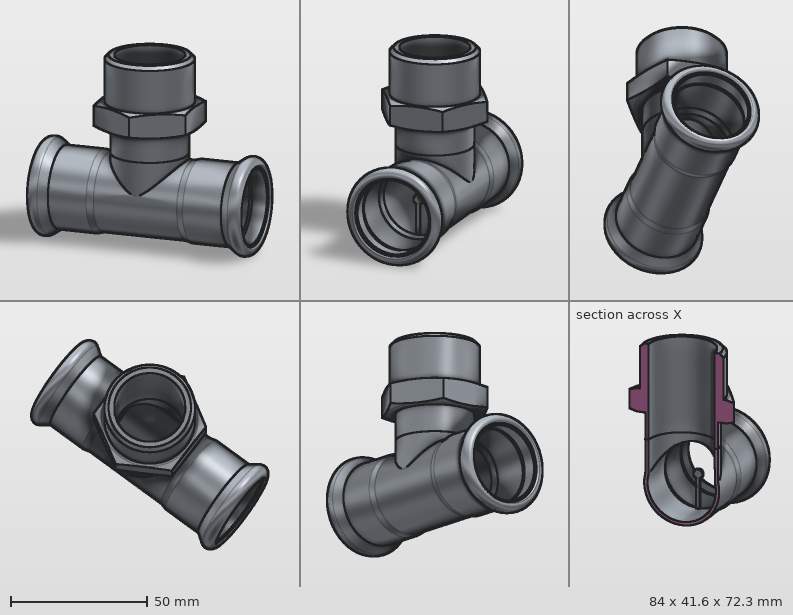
import cadquery as cq
import math

length = 84.0
run_outer_r = 30.0 / 2
run_bore_r = 27.0 / 2
socket_outer_r = 31.3 / 2
socket_bore_r = 28.8 / 2
step_inner_x = 16.4
step_outer_x = 19.0

bead_r = 2.9
seat_r = 1.5
bead_centre_r = 15.6
bead_x = length / 2 - bead_r
cone_angle = math.radians(35)
lip_r = 14.9
lip_round_r = bead_centre_r - lip_r

ring_bore_r = 28.2 / 2
ring_front_x = 41.0
ring_bevel_x = 40.6
ring_bevel_r = 14.45
ring_taper_x = 34.6
ring_tail_x = 33.6

branch_outer_r = 29.0 / 2
branch_bore_r = 26.0 / 2
joint_z = 16.6
hex_bottom_z = 26.8
hex_top_z = 36.0
hex_corners = 41.6
hex_face_r = 17.7
hex_bevel_height = 0.8
thread_r = 33.3 / 2
thread_top_r = 15.1
thread_bevel_height = 1.5
top_z = 53.8

stop_disc_r = 1.85
stop_stem_width = 1.4
stop_thickness = 0.8


def bead_point(radius, angle):
    """Point (x, r) around the bead centre; the angle is zero radially outward, positive toward the middle."""
    return (bead_x - radius * math.sin(angle), bead_centre_r + radius * math.cos(angle))


def cone_foot(start, end_r):
    """Point where the cone behind the bead comes down to the radius end_r."""
    return (start[0] - (start[1] - end_r) / math.tan(cone_angle), end_r)


def revolve_about_x(profile):
    return profile.revolve(360, (0, 0, 0), (1, 0, 0))


def mirrored(point):
    return (-point[0], point[1])


def seat_points():
    """Lip side, middle and cone side of the seat arc, then the foot of its cone."""
    lip_angle = -math.pi / 2 - math.asin((bead_centre_r - lip_r) / seat_r)
    lip_side = bead_point(seat_r, lip_angle)
    middle = bead_point(seat_r, (cone_angle + lip_angle) / 2)
    cone_side = bead_point(seat_r, cone_angle)
    return lip_side, middle, cone_side, cone_foot(cone_side, socket_bore_r)


def make_outer_run():
    """Run with raised sockets and a bead curling in to the lip at each end."""
    cone_start = bead_point(bead_r, cone_angle)
    rim = bead_point(bead_r, -math.pi / 2)
    crown = bead_point(bead_r, 0)
    lip = (rim[0] - lip_round_r, lip_r)
    curl_offset = lip_round_r * math.sqrt(0.5)
    curl = (lip[0] + curl_offset, bead_centre_r - curl_offset)
    foot = cone_foot(cone_start, socket_outer_r)
    profile = (
        cq.Workplane("XY")
        .moveTo(-lip[0], 0)
        .lineTo(*mirrored(lip))
        .threePointArc(mirrored(curl), mirrored(rim))
        .threePointArc(mirrored(crown), mirrored(cone_start))
        .lineTo(*mirrored(foot))
        .lineTo(-step_outer_x, socket_outer_r)
        .lineTo(-step_inner_x, run_outer_r)
        .lineTo(step_inner_x, run_outer_r)
        .lineTo(step_outer_x, socket_outer_r)
        .lineTo(*foot)
        .lineTo(*cone_start)
        .threePointArc(crown, rim)
        .threePointArc(curl, lip)
        .lineTo(lip[0], 0)
        .close()
    )
    return revolve_about_x(profile)


def make_run_space():
    """Space inside the run: bore, sockets with tapered shoulders, ring seats and mouths."""
    lip, seat, cone_start, foot = seat_points()
    mouth_x = length / 2
    profile = (
        cq.Workplane("XY")
        .moveTo(-mouth_x, 0)
        .lineTo(-mouth_x, lip_r)
        .lineTo(*mirrored(lip))
        .threePointArc(mirrored(seat), mirrored(cone_start))
        .lineTo(*mirrored(foot))
        .lineTo(-step_outer_x, socket_bore_r)
        .lineTo(-step_inner_x, run_bore_r)
        .lineTo(step_inner_x, run_bore_r)
        .lineTo(step_outer_x, socket_bore_r)
        .lineTo(*foot)
        .lineTo(*cone_start)
        .threePointArc(seat, lip)
        .lineTo(mouth_x, lip_r)
        .lineTo(mouth_x, 0)
        .close()
    )
    return revolve_about_x(profile)


def make_stop():
    """Disc and stem standing on the bore floor at the -X shoulder."""
    plane = cq.Workplane("YZ", origin=(-step_inner_x, 0, 0))
    disc = plane.circle(stop_disc_r).extrude(stop_thickness)
    stem_length = (run_bore_r + run_outer_r) / 2
    stem = plane.center(0, -stem_length / 2).rect(stop_stem_width, stem_length).extrude(stop_thickness)
    return disc.union(stem)


def make_tee():
    branch = cq.Workplane("XY").circle(branch_outer_r).extrude(joint_z)
    branch_bore = cq.Workplane("XY").circle(branch_bore_r).extrude(joint_z)
    tee = make_outer_run().union(branch)
    tee = tee.cut(make_run_space()).cut(branch_bore)
    return tee.union(make_stop())


def make_hexagon():
    """Hexagon with flats facing X and its corners bevelled at both ends."""
    height = hex_top_z - hex_bottom_z
    corner_r = hex_corners / 2
    prism = (
        cq.Workplane("XY", origin=(0, 0, hex_bottom_z))
        .polygon(6, hex_corners)
        .extrude(height)
        .rotate((0, 0, 0), (0, 0, 1), 90)
    )
    bevel = (
        cq.Workplane("XZ")
        .moveTo(0, hex_bottom_z)
        .lineTo(hex_face_r, hex_bottom_z)
        .lineTo(corner_r, hex_bottom_z + hex_bevel_height)
        .lineTo(corner_r, hex_top_z - hex_bevel_height)
        .lineTo(hex_face_r, hex_top_z)
        .lineTo(0, hex_top_z)
        .close()
        .revolve(360, (0, 0, 0), (0, 1, 0))
    )
    return prism.intersect(bevel)


def make_nipple():
    """Plain neck, hexagon and threaded end (plain cylinder) around one bore."""
    sleeve = (
        cq.Workplane("XZ")
        .moveTo(0, joint_z)
        .lineTo(branch_outer_r, joint_z)
        .lineTo(branch_outer_r, hex_bottom_z)
        .lineTo(thread_r, hex_bottom_z)
        .lineTo(thread_r, top_z - thread_bevel_height)
        .lineTo(thread_top_r, top_z)
        .lineTo(0, top_z)
        .close()
        .revolve(360, (0, 0, 0), (0, 1, 0))
    )
    bore = cq.Workplane("XY", origin=(0, 0, joint_z)).circle(branch_bore_r).extrude(top_z - joint_z)
    return sleeve.union(make_hexagon()).cut(bore)


def make_seal_ring(side):
    """Seal filling the seat of the bead at the +X (1) or -X (-1) end."""
    lip_side, middle, cone_side, foot = seat_points()
    profile = (
        cq.Workplane("XY")
        .moveTo(ring_front_x, lip_r)
        .lineTo(*lip_side)
        .threePointArc(middle, cone_side)
        .lineTo(*foot)
        .lineTo(ring_tail_x, socket_bore_r)
        .lineTo(ring_taper_x, ring_bore_r)
        .lineTo(ring_bevel_x, ring_bore_r)
        .lineTo(ring_front_x, ring_bevel_r)
        .close()
    )
    ring = revolve_about_x(profile)
    return ring if side > 0 else ring.mirror("YZ")


tee = make_tee()
nipple = make_nipple()
seal_rings = [make_seal_ring(side) for side in (-1, 1)]

result = cq.Compound.makeCompound([tee.val(), nipple.val(), *(ring.val() for ring in seal_rings)])